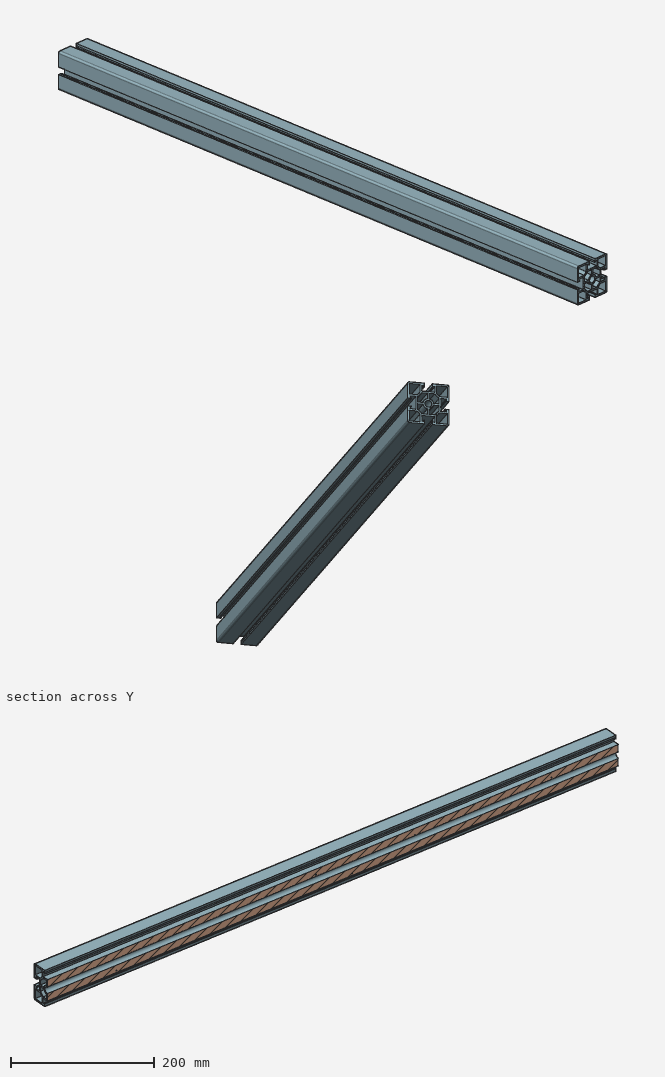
import cadquery as cq
import math

length = 1000.0
width = 60.0
half_width = width / 2
wall = 2.6
corner_radius = 3.0

mouth_half = 5.8
nose_half = 6.5
slot_half = 9.4
lip_thickness = 4.0
nose_thickness = 6.0
pocket_height = 8.0

chamber_cut = 4.2

bore_radius = 5.0
core_radius = bore_radius + wall

slot_floor = half_width - lip_thickness - pocket_height
cavity_half = slot_floor - wall
chamber_inner = slot_half + wall
chamber_outer = half_width - wall


def extrude_outline(points):
    """Close an outline of (y, z) points and extrude it over the full length."""
    return cq.Workplane("YZ").polyline(points).close().extrude(length)


def around_axis(shape):
    """Return four copies of the shape, a quarter turn apart about the X axis."""
    return [shape.rotate((0, 0, 0), (1, 0, 0), 90 * turn) for turn in range(4)]


def make_blank():
    blank = cq.Workplane("YZ").rect(width, width).extrude(length)
    return blank.edges("|X").fillet(corner_radius)


def make_slot():
    half_outline = [
        (mouth_half, half_width),
        (mouth_half, half_width - nose_thickness),
        (nose_half, half_width - lip_thickness),
        (slot_half, half_width - lip_thickness),
        (slot_half, slot_floor),
    ]
    mirrored = [(-y, z) for y, z in reversed(half_outline)]
    return extrude_outline(half_outline + mirrored)


def make_chamber():
    return extrude_outline([
        (chamber_inner + chamber_cut, chamber_inner),
        (chamber_outer, chamber_inner),
        (chamber_outer, chamber_outer),
        (chamber_inner, chamber_outer),
        (chamber_inner, chamber_inner + chamber_cut),
    ])


def make_cavity():
    """Octagonal space around the core; its 45 degree sides leave one wall to the chambers."""
    chamber_cut_sum = 2 * chamber_inner + chamber_cut
    cavity_cut_sum = chamber_cut_sum - wall * math.sqrt(2)
    cavity_cut = 2 * cavity_half - cavity_cut_sum
    cavity = cq.Workplane("YZ").rect(2 * cavity_half, 2 * cavity_half).extrude(length)
    return cavity.edges("|X").chamfer(cavity_cut)


def make_core():
    core = cq.Workplane("YZ").circle(core_radius).extrude(length)
    web_span = 2 * cavity_half
    for web_size in [(web_span, wall), (wall, web_span)]:
        core = core.union(cq.Workplane("YZ").rect(*web_size).extrude(length))
    bore = cq.Workplane("YZ").circle(bore_radius).extrude(length)
    return core.cut(bore)


result = make_blank().cut(make_cavity().cut(make_core()))
for hollow in around_axis(make_slot()) + around_axis(make_chamber()):
    result = result.cut(hollow)